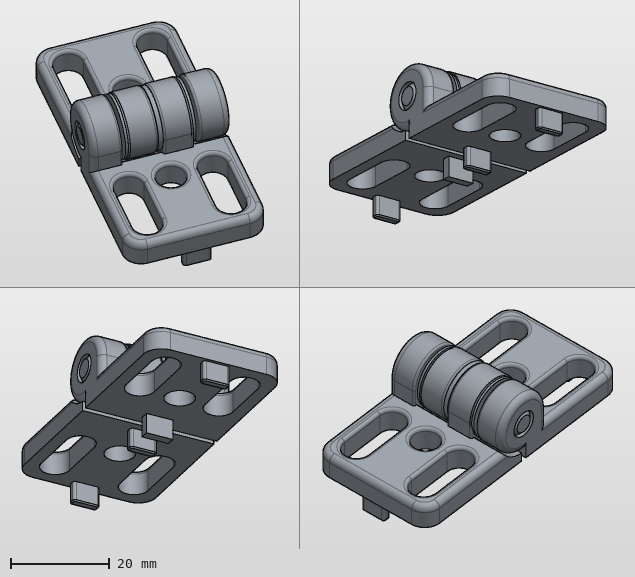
import cadquery as cq


length = 60.0
width = 30.0
plate_height = 5.5
leaf_clearance = 1.25
corner_radius = 4.0
outer_fillet = 1.5

hole_diameter = 6.4
hole_edge_fillet = 0.8
hole_x = 13.0
slot_outer_x = 24.0
slot_y = 9.0

tab_height = 4.5
tab_thickness = 1.9
tab_width = 6.0
tab_corner_fillet = 0.6
tab_tip_chamfer = 0.3
tab_inner_x = 3.35
tab_outer_x = 28.4

overall_height = 21.0
top_height = overall_height - tab_height
knuckle_radius = 7.0
axis_height = top_height - knuckle_radius
knuckle_edge_fillet = 0.5
relief_radius = 7.4
bore_diameter = 6.0

washer_diameter = 13.7
washer_thickness = 1.0

inner_knuckle_start = washer_thickness / 2
inner_knuckle_end = 7.1
side_washer_end = 7.55
side_washer_middle = side_washer_end - washer_thickness / 2
outer_knuckle_start = 8.3
outer_knuckle_end = width / 2

pin_diameter = 5.8
pin_chamfer = 0.9

LEFT = -1
RIGHT = 1


def cylinder_along_y(diameter, y_start, y_end):
    """Round bar on the pin axis."""
    return (
        cq.Workplane("XZ", origin=(0, y_start, axis_height))
        .circle(diameter / 2)
        .extrude(y_start - y_end)
    )


def box_between(x_range, y_range, z_range):
    """Box between the given limits."""
    (x0, x1), (y0, y1), (z0, z1) = sorted(x_range), sorted(y_range), sorted(z_range)
    return cq.Workplane("XY").box(x1 - x0, y1 - y0, z1 - z0, centered=False).translate((x0, y0, z0))


def make_plate(side):
    """Rounded half plate, hollowed under the knuckles of the other leaf."""
    y_limits = (-width / 2, width / 2)
    plate = box_between((-length / 2, length / 2), y_limits, (0, plate_height))
    plate = plate.edges("|Z").fillet(corner_radius).faces(">Z").edges().fillet(outer_fillet)
    half = box_between((side * leaf_clearance / 2, side * length / 2), y_limits, (0, plate_height))
    relief = cylinder_along_y(2 * relief_radius, *y_limits)
    return plate.intersect(half).cut(relief)


def fillet_ends(body, selector, inner_y, outer_y, outer_end_fillet):
    """Round the selected edges of a knuckle piece at its inward and outward ends."""
    inner_end, outer_end = ("<Y", ">Y") if inner_y < outer_y else (">Y", "<Y")
    body = body.faces(inner_end).edges(selector).fillet(knuckle_edge_fillet)
    return body.faces(outer_end).edges(selector).fillet(outer_end_fillet)


def make_knuckle(side, inner_y, outer_y, outer_end_fillet):
    """Round eye on an upright block that stands on the leaf."""
    eye = cylinder_along_y(2 * knuckle_radius, *sorted((inner_y, outer_y)))
    eye = fillet_ends(eye, "%CIRCLE", inner_y, outer_y, outer_end_fillet)
    block = box_between(
        (side * leaf_clearance / 2, side * knuckle_radius), (inner_y, outer_y), (0, axis_height)
    )
    block_face = ">X" if side == RIGHT else "<X"
    block = fillet_ends(block, block_face, inner_y, outer_y, outer_end_fillet)
    return eye.union(block)


def cut_slots_and_hole(plate, side):
    """Cut one round hole and two slots through a leaf and round their upper rims."""
    slot_length = slot_outer_x - hole_x + hole_diameter
    slot_middle_x = side * (slot_outer_x + hole_x) / 2
    slots = (
        cq.Workplane("XY")
        .pushPoints([(slot_middle_x, slot_y), (slot_middle_x, -slot_y)])
        .slot2D(slot_length, hole_diameter)
        .extrude(plate_height)
    )
    hole = cq.Workplane("XY").center(side * hole_x, 0).circle(hole_diameter / 2).extrude(plate_height)
    plate = plate.cut(slots).cut(hole)
    rims = [edge for wire in plate.faces(">Z").val().innerWires() for edge in wire.Edges()]
    return plate.newObject(rims).fillet(hole_edge_fillet)


def make_tab(x, rounded):
    """Locating tab that hangs below a leaf."""
    tab = box_between(
        (x - tab_thickness / 2, x + tab_thickness / 2), (-tab_width / 2, tab_width / 2), (-tab_height, 0)
    )
    if rounded:
        tab = tab.edges("|Z").fillet(tab_corner_fillet)
        tab = tab.faces("<Z").edges().chamfer(tab_tip_chamfer)
    return tab


def washer_disc(middle_y):
    """Solid outline of a washer, which also cuts its recess."""
    return cylinder_along_y(
        washer_diameter, middle_y - washer_thickness / 2, middle_y + washer_thickness / 2
    )


def make_leaf(side, inner_tab_rounded):
    """Leaf with one outer and one inner knuckle, on opposite halves of its width."""
    leaf = cut_slots_and_hole(make_plate(side), side)
    leaf = leaf.union(
        make_knuckle(side, -side * outer_knuckle_start, -side * outer_knuckle_end, outer_fillet)
    )
    leaf = leaf.union(
        make_knuckle(side, side * inner_knuckle_start, side * inner_knuckle_end, knuckle_edge_fillet)
    )
    leaf = leaf.cut(washer_disc(side * side_washer_middle))
    leaf = leaf.cut(cylinder_along_y(bore_diameter, -width / 2, width / 2))
    leaf = leaf.union(make_tab(side * tab_outer_x, True))
    return leaf.union(make_tab(side * tab_inner_x, inner_tab_rounded))


def make_washer(middle_y):
    """Flat ring on the pin."""
    return washer_disc(middle_y).cut(cylinder_along_y(bore_diameter, -width / 2, width / 2))


def make_pin():
    """Straight pin with chamfered ends, flush with the outer knuckles."""
    return cylinder_along_y(pin_diameter, -width / 2, width / 2).edges("%CIRCLE").chamfer(pin_chamfer)


left_leaf = make_leaf(LEFT, True)
right_leaf = make_leaf(RIGHT, False)
pin = make_pin()
washers = [make_washer(middle_y).val() for middle_y in (-side_washer_middle, 0, side_washer_middle)]

result = cq.Compound.makeCompound([left_leaf.val(), right_leaf.val(), pin.val(), *washers])